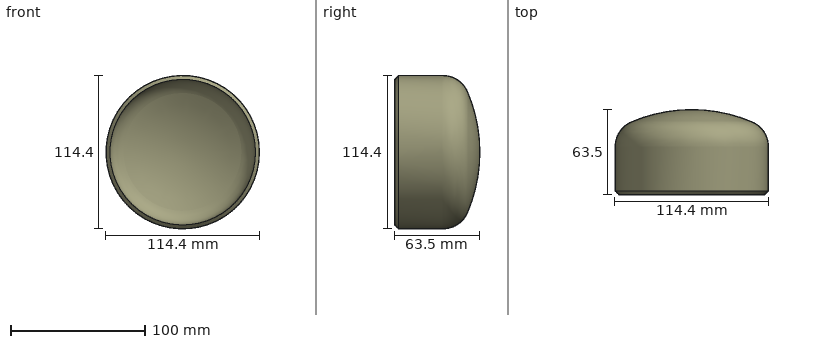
import cadquery as cq
import math

outer_radius = 57.2
total_height = 63.5
wall = 3.0
crown_radius = 2 * outer_radius
knuckle_radius = 20.0
bevel_height = wall

inner_radius = outer_radius - wall
crown_center_y = total_height - crown_radius
knuckle_center_x = outer_radius - knuckle_radius

tangent_angle = math.asin(knuckle_center_x / (crown_radius - knuckle_radius))
knuckle_center_y = crown_center_y + (crown_radius - knuckle_radius) * math.cos(tangent_angle)


def crown_point(inset, angle):
    """Point on the crown, inset from the outer skin, at an angle from the Y axis."""
    radius = crown_radius - inset
    return radius * math.sin(angle), crown_center_y + radius * math.cos(angle)


def knuckle_point(inset, angle):
    """Point on the knuckle, inset from the outer skin, at an angle from the Y axis."""
    radius = knuckle_radius - inset
    return (
        knuckle_center_x + radius * math.sin(angle),
        knuckle_center_y + radius * math.cos(angle),
    )


right_angle = math.pi / 2
knuckle_middle = (tangent_angle + right_angle) / 2
crown_middle = tangent_angle / 2

profile = (
    cq.Workplane("XY")
    .moveTo(inner_radius, 0)
    .lineTo(outer_radius, bevel_height)
    .lineTo(*knuckle_point(0, right_angle))
    .threePointArc(knuckle_point(0, knuckle_middle), knuckle_point(0, tangent_angle))
    .threePointArc(crown_point(0, crown_middle), crown_point(0, 0))
    .lineTo(*crown_point(wall, 0))
    .threePointArc(crown_point(wall, crown_middle), crown_point(wall, tangent_angle))
    .threePointArc(knuckle_point(wall, knuckle_middle), knuckle_point(wall, right_angle))
    .close()
)

result = profile.revolve(360, (0, 0, 0), (0, 1, 0))